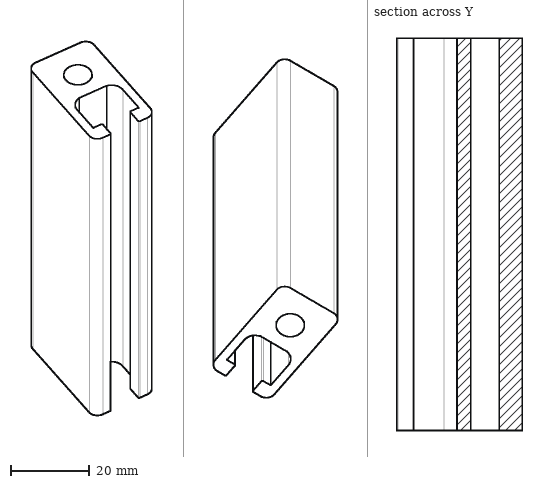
import cadquery as cq

width = 32.0
depth = 18.5
length = 100.0
corner_radius = 2.5

wall = 2.4
slot_depth = 15.3
lip_thickness = 4.3
mouth_width = 8.3
slot_radius = 3.3
lip_radius = 0.3

hole_diameter = 7.2
hole_from_back = 9.5

slot_width = depth - 2 * wall
cavity_depth = slot_depth - lip_thickness
right_face = width / 2
slot_floor = right_face - slot_depth


def make_body():
    """Rectangular bar with its four long edges rounded."""
    return (
        cq.Workplane("XY")
        .rect(width, depth)
        .extrude(length)
        .edges("|Z")
        .fillet(corner_radius)
    )


def make_slot():
    """Wide cavity with rounded inner corners and a narrower mouth."""
    cavity = (
        cq.Workplane("XY")
        .center(slot_floor + cavity_depth / 2, 0)
        .rect(cavity_depth, slot_width)
        .extrude(length)
        .edges("|Z and <X")
        .fillet(slot_radius)
    )
    mouth = (
        cq.Workplane("XY")
        .center(slot_floor + slot_depth / 2, 0)
        .rect(slot_depth, mouth_width)
        .extrude(length)
    )
    return cavity.union(mouth)


def make_hole():
    """Round bore running the full length."""
    return (
        cq.Workplane("XY")
        .center(hole_from_back - width / 2, 0)
        .circle(hole_diameter / 2)
        .extrude(length)
    )


def round_lips(body):
    """Round the long edges of both lips where they border the mouth."""
    half_mouth = mouth_width / 2
    edge_margin = 0.1
    mouth_zone = cq.selectors.BoxSelector(
        (right_face - lip_thickness - edge_margin, -half_mouth - edge_margin, 0),
        (right_face + edge_margin, half_mouth + edge_margin, length),
    )
    return body.edges("|Z").edges(mouth_zone).fillet(lip_radius)


result = round_lips(make_body().cut(make_slot()).cut(make_hole()))